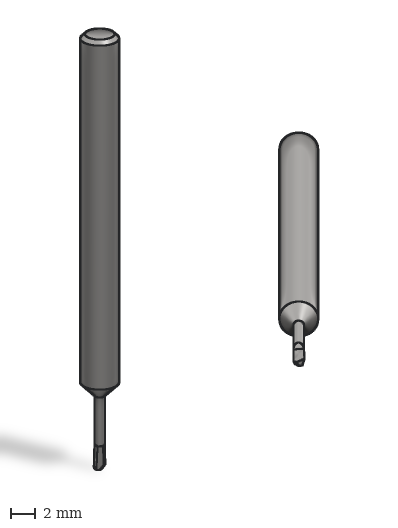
import cadquery as cq
import math


OVERALL_LENGTH = 38.1
SHANK_RADIUS = 3.175 / 2
END_CHAMFER = 0.38
NECK_RADIUS = 0.43
NECK_TOP = 6.4
CONE_TOP = NECK_TOP + (SHANK_RADIUS - NECK_RADIUS)

HEAD_TOP = 2.1
UPPER_SECTION = [(-0.41, -0.15), (0.03, -0.43), (0.39, -0.18), (0.38, 0.22)]
LOWER_SECTION = [(-0.54, -0.03), (-0.05, -0.50), (0.56, -0.30), (0.52, -0.01)]

TIP_POINT_X = -0.42
TIP_LEFT_HEIGHT = 0.08
NOSE_X = 0.22
NOSE_HEIGHT = 0.05
BEVEL_TOP_HEIGHT = 0.55
BEVEL_TOP_X = 0.55

RUNOUT_ANGLE = 45.0
CUT_MARGIN = 1.0


def make_shank():
    """Chamfered shank, cone and neck as one turned body."""
    return (
        cq.Workplane("XZ")
        .moveTo(0, HEAD_TOP)
        .lineTo(NECK_RADIUS, HEAD_TOP)
        .lineTo(NECK_RADIUS, NECK_TOP)
        .lineTo(SHANK_RADIUS, CONE_TOP)
        .lineTo(SHANK_RADIUS, OVERALL_LENGTH - END_CHAMFER)
        .lineTo(SHANK_RADIUS - END_CHAMFER, OVERALL_LENGTH)
        .lineTo(0, OVERALL_LENGTH)
        .close()
        .revolve(360, (0, 0, 0), (0, 1, 0))
    )


def make_runout_cutter():
    """Wedge that slopes away from the top edge of the rake face."""
    left, right = UPPER_SECTION[0], UPPER_SECTION[-1]
    rake_direction = (right[0] - left[0], right[1] - left[1], 0)
    profile_plane = cq.Plane(
        origin=(left[0], left[1], HEAD_TOP),
        xDir=(-rake_direction[1], rake_direction[0], 0),
        normal=rake_direction,
    )
    rise = CUT_MARGIN * math.tan(math.radians(RUNOUT_ANGLE))
    return (
        cq.Workplane(profile_plane)
        .polyline([(0, 0), (CUT_MARGIN, 0), (CUT_MARGIN, rise)])
        .close()
        .extrude(math.hypot(*rake_direction) + CUT_MARGIN, both=True)
    )


def make_head():
    """Tapered cutting head, trimmed to the tip outline."""
    blank = (
        cq.Workplane("XY")
        .polyline(LOWER_SECTION)
        .close()
        .workplane(offset=HEAD_TOP)
        .polyline(UPPER_SECTION)
        .close()
        .loft(ruled=True)
    )
    outline = (
        cq.Workplane("XZ")
        .moveTo(TIP_POINT_X, 0)
        .lineTo(NOSE_X, NOSE_HEIGHT)
        .lineTo(BEVEL_TOP_X, BEVEL_TOP_HEIGHT)
        .lineTo(BEVEL_TOP_X, HEAD_TOP)
        .lineTo(LOWER_SECTION[0][0], HEAD_TOP)
        .lineTo(LOWER_SECTION[0][0], TIP_LEFT_HEIGHT)
        .close()
        .extrude(CUT_MARGIN, both=True)
    )
    return blank.intersect(outline)


result = make_shank().cut(make_runout_cutter()).union(make_head())